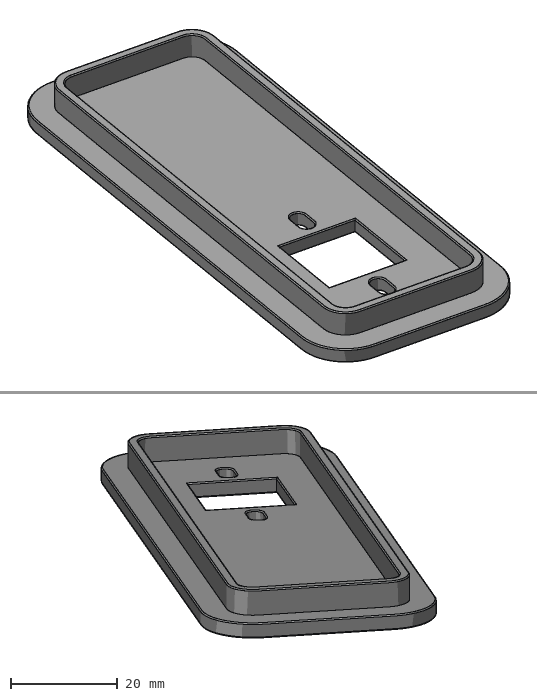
import cadquery as cq

plate_length = 110.0
plate_width = 45.0
plate_thickness = 3.0
plate_corner_radius = 10.0

total_height = 8.0
rim_inset = 5.0
rim_wall = 2.0
rim_height = total_height - plate_thickness

window_center_x = 25.0
window_size = 17.0
slot_spacing = 27.2
slot_length = 6.0
slot_width = 3.2

edge_break = 0.25


def inset_block(inset, height):
    """Block with the plate outline moved inwards by `inset`, corners concentric."""
    block = cq.Workplane("XY").box(
        plate_length - 2 * inset,
        plate_width - 2 * inset,
        height,
        centered=(True, True, False),
    )
    return block.edges("|Z").fillet(plate_corner_radius - inset)


def cut_window(plate):
    """Cut the square window through the plate."""
    window = cq.Workplane("XY").center(window_center_x, 0).rect(window_size, window_size)
    return plate.cut(window.extrude(plate_thickness))


def cut_slots(plate):
    """Cut the two round-ended screw slots through the plate."""
    slot_centers = [(window_center_x + side * slot_spacing / 2, 0) for side in (-1, 1)]
    slots = cq.Workplane("XY").pushPoints(slot_centers).slot2D(slot_length, slot_width)
    return plate.cut(slots.extrude(plate_thickness))


def make_plate():
    """Plate with its openings; outline and openings are chamfered on both faces."""
    plate = cut_slots(cut_window(inset_block(0, plate_thickness)))
    return plate.faces("<Z or >Z").edges().chamfer(edge_break)


def make_rim():
    """Closed wall with both of its top edges chamfered, raised onto the plate."""
    rim = inset_block(rim_inset, rim_height).cut(inset_block(rim_inset + rim_wall, rim_height))
    rim = rim.faces(">Z").edges().chamfer(edge_break)
    return rim.translate((0, 0, plate_thickness))


result = make_plate().union(make_rim())